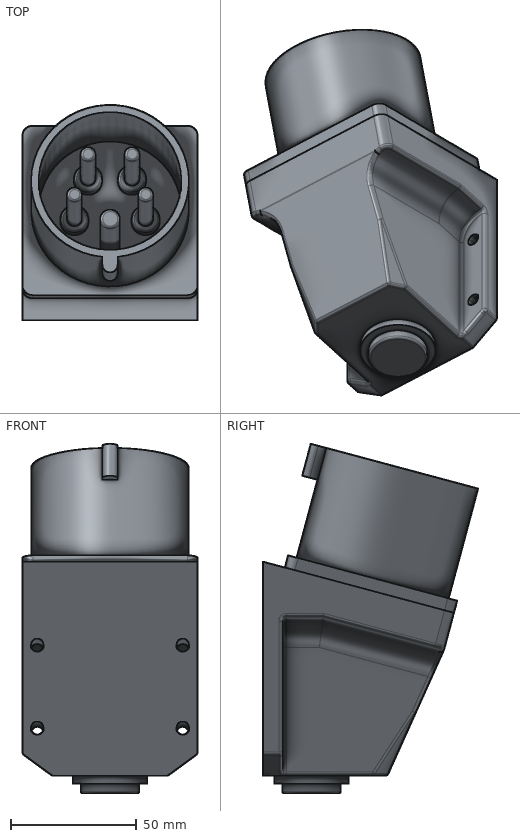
import cadquery as cq
import math

WIDTH = 70.0
TILT = 15.0

FRONT_HEIGHT = 85.6
SKIRT_DEPTH = 15.2
BOTTOM_DEPTH = 49.7
WALL_PLATE = 8.0
COVE_RADIUS = 12.0
POCKET_CEILING = 63.4
POCKET_CORNER = 1.4
EDGE_RADIUS = 1.7
PLATE_CORNER_HEIGHT = 8.8
BEVEL_HEIGHT = 31.4
BEVEL_SIDE_LEG = 6.3
BEVEL_REAR_LEG = 4.6
MOUNT_HOLE_DIAMETER = 5.0
MOUNT_HOLE_SPACING = 58.1
MOUNT_HOLE_LEVELS = (19.1, 52.2)

FLANGE_SIZE = WIDTH
FLANGE_THICKNESS = 5.0
FLANGE_CORNER = 4.0
FLANGE_SETBACK = 9.1

BOSS_DIAMETER = 11.3
BOSS_HEIGHT = 4.2
BOSS_ROUNDING = 1.0

SHROUD_DIAMETER = 63.0
SHROUD_BORE = 57.0
SHROUD_LENGTH = 45.4
KEY_WIDTH = 6.0
KEY_PROJECTION = 6.3
KEY_LENGTH = 13.3

PIN_CIRCLE_RADIUS = 15.0
PIN_LENGTH = 42.2
EARTH_PIN_LENGTH = 43.0
PIN_DIAMETER = 6.0
EARTH_PIN_DIAMETER = 8.0
PIN_ROUNDING = 1.0
PIN_ANGLES = (-18.0, 54.0, 126.0, 198.0)
EARTH_PIN_ANGLE = -90.0

GLAND_SETBACK = 19.4
GLAND_COLLAR_DIAMETER = 29.9
GLAND_COLLAR_HEIGHT = 3.1
GLAND_STUB_DIAMETER = 23.5
GLAND_STUB_HEIGHT = 3.9
GLAND_ROUNDING = 1.0

MARGIN = 0.1
CUT_OVERRUN = 27.9

HALF_WIDTH = WIDTH / 2
BODY_HALF_WIDTH = HALF_WIDTH - COVE_RADIUS
SIN_TILT = math.sin(math.radians(TILT))
COS_TILT = math.cos(math.radians(TILT))
SLOPE_LENGTH = FLANGE_SETBACK + FLANGE_SIZE
FLANGE_CENTRE = FLANGE_SETBACK + FLANGE_SIZE / 2


def slope_point(along, above):
    """(y, z) of a point given along the sloping top face and square to it."""
    return (
        along * COS_TILT + above * SIN_TILT,
        FRONT_HEIGHT - along * SIN_TILT + above * COS_TILT,
    )


def connector_plane(height):
    """Plane square to the connector axis, at a height above the sloping top face."""
    y, z = slope_point(FLANGE_CENTRE, height)
    return cq.Plane(origin=(0, y, z), xDir=(1, 0, 0), normal=(0, SIN_TILT, COS_TILT))


FLANGE_BASE = connector_plane(0)
FLANGE_TOP = connector_plane(FLANGE_THICKNESS)


def pin_location(angle):
    """Place on the flange plate at an angle on the pin circle."""
    radians = math.radians(angle)
    offset = cq.Vector(PIN_CIRCLE_RADIUS * math.cos(radians), PIN_CIRCLE_RADIUS * math.sin(radians), 0)
    return cq.Location(FLANGE_TOP) * cq.Location(offset)


SKIRT_REAR = slope_point(SLOPE_LENGTH, -SKIRT_DEPTH)


def center_box(low, high):
    """Selector for the edges whose middles lie between two corner points."""
    return cq.selectors.BoxSelector(low, high)


def half_block():
    block = (
        cq.Workplane("YZ")
        .polyline([(0, 0), (0, FRONT_HEIGHT), slope_point(SLOPE_LENGTH, 0), SKIRT_REAR, (BOTTOM_DEPTH, 0)])
        .close()
        .extrude(-HALF_WIDTH)
    )
    rear_y, rear_z = slope_point(SLOPE_LENGTH, -SKIRT_DEPTH / 2)
    rear_corner = center_box(
        (-HALF_WIDTH - MARGIN, rear_y - MARGIN, rear_z - MARGIN),
        (-HALF_WIDTH + MARGIN, rear_y + MARGIN, rear_z + MARGIN),
    )
    return block.edges(rear_corner).fillet(FLANGE_CORNER)


def side_pocket():
    """Cutter that narrows the body below the skirt, with a cove under the skirt."""
    kink_along = (FRONT_HEIGHT - SKIRT_DEPTH * COS_TILT - POCKET_CEILING) / SIN_TILT
    kink = slope_point(kink_along, -SKIRT_DEPTH)
    far = slope_point(SLOPE_LENGTH + CUT_OVERRUN, -SKIRT_DEPTH)
    cutter = (
        cq.Workplane("YZ", origin=(-BODY_HALF_WIDTH, 0, 0))
        .polyline([(WALL_PLATE, -CUT_OVERRUN), (WALL_PLATE, POCKET_CEILING), kink, far, (far[0], -CUT_OVERRUN)])
        .close()
        .extrude(-CUT_OVERRUN)
    )
    cove_edges = center_box(
        (-BODY_HALF_WIDTH - MARGIN, WALL_PLATE + MARGIN, BEVEL_HEIGHT),
        (-BODY_HALF_WIDTH + MARGIN, SKIRT_REAR[0], POCKET_CEILING + MARGIN),
    )
    cutter = cutter.edges(cove_edges).fillet(COVE_RADIUS)
    return cutter.faces("<Y").edges(">X").fillet(POCKET_CORNER)


def rear_bevel():
    """Tetrahedral cutter for the lower rear corner of the body."""
    rear_lean = (SKIRT_REAR[0] - BOTTOM_DEPTH) / SKIRT_REAR[1]
    corner = (-BODY_HALF_WIDTH, BOTTOM_DEPTH, 0)
    tip = (-BODY_HALF_WIDTH, BOTTOM_DEPTH + rear_lean * BEVEL_HEIGHT, BEVEL_HEIGHT)
    on_side = (-BODY_HALF_WIDTH, BOTTOM_DEPTH - BEVEL_SIDE_LEG, 0)
    on_rear = (-BODY_HALF_WIDTH + BEVEL_REAR_LEG, BOTTOM_DEPTH, 0)
    triangles = [
        (tip, on_side, on_rear),
        (tip, on_side, corner),
        (tip, on_rear, corner),
        (on_side, on_rear, corner),
    ]
    faces = [cq.Face.makeFromWires(cq.Wire.makePolygon(points, close=True)) for points in triangles]
    return cq.Workplane(obj=cq.Solid.makeSolid(cq.Shell.makeShell(faces)))


def round_outer_edges(half):
    """Rounds the pocket rim, the rear edges, the rear bevel and the bottom edges."""
    rear_start = BOTTOM_DEPTH + (SKIRT_REAR[0] - BOTTOM_DEPTH) / 2
    pocket_rim = center_box(
        (-HALF_WIDTH - MARGIN, WALL_PLATE - MARGIN, BEVEL_HEIGHT),
        (-HALF_WIDTH + MARGIN, rear_start, POCKET_CEILING + MARGIN),
    )
    rear_edges = center_box(
        (-HALF_WIDTH, rear_start, BEVEL_HEIGHT),
        (-BODY_HALF_WIDTH + MARGIN, SKIRT_REAR[0], SKIRT_REAR[1] + MARGIN),
    )
    bevel_edges = center_box(
        (-BODY_HALF_WIDTH - MARGIN, BOTTOM_DEPTH, BEVEL_HEIGHT / 2 - MARGIN),
        (-BODY_HALF_WIDTH + BEVEL_REAR_LEG, SKIRT_REAR[0], BEVEL_HEIGHT / 2 + MARGIN),
    )
    bottom_edges = center_box(
        (-HALF_WIDTH, WALL_PLATE - MARGIN, -MARGIN),
        (-MARGIN, BOTTOM_DEPTH + MARGIN, MARGIN),
    )
    return half.edges(pocket_rim + rear_edges + bevel_edges + bottom_edges).fillet(EDGE_RADIUS)


def bevel_plate_corner(half):
    """Cuts the lower corner off the mounting plate and rounds the new edges."""
    cutter = (
        cq.Workplane("XZ")
        .polyline([(-HALF_WIDTH, 0), (-BODY_HALF_WIDTH, 0), (-HALF_WIDTH, PLATE_CORNER_HEIGHT)])
        .close()
        .extrude(-WALL_PLATE - POCKET_CORNER)
    )
    half = half.cut(cutter)
    side_edge = center_box(
        (-HALF_WIDTH - MARGIN, MARGIN, PLATE_CORNER_HEIGHT - MARGIN),
        (-HALF_WIDTH + MARGIN, WALL_PLATE, PLATE_CORNER_HEIGHT + MARGIN),
    )
    back_edge = center_box(
        (-HALF_WIDTH + MARGIN, WALL_PLATE - MARGIN, PLATE_CORNER_HEIGHT / 4),
        (-BODY_HALF_WIDTH - POCKET_CORNER, WALL_PLATE + MARGIN, PLATE_CORNER_HEIGHT),
    )
    return half.edges(side_edge + back_edge).fillet(EDGE_RADIUS)


def drill_mount_holes(half):
    """Screw holes through the mounting plate, parallel to the sloping top face."""
    for level in MOUNT_HOLE_LEVELS:
        drill = cq.Solid.makeCylinder(
            MOUNT_HOLE_DIAMETER / 2,
            WALL_PLATE + CUT_OVERRUN,
            cq.Vector(-MOUNT_HOLE_SPACING / 2, -WALL_PLATE * COS_TILT, level + WALL_PLATE * SIN_TILT),
            cq.Vector(0, COS_TILT, -SIN_TILT),
        )
        half = half.cut(cq.Workplane(obj=drill))
    return half


half_housing = half_block().cut(side_pocket()).cut(rear_bevel())
half_housing = round_outer_edges(half_housing)
half_housing = bevel_plate_corner(half_housing)
half_housing = drill_mount_holes(half_housing)
housing = half_housing.union(half_housing.mirror("YZ")).clean()


def make_flange():
    """Flange plate with a rounded, bored boss for each live pin."""
    plate = (
        cq.Workplane(FLANGE_BASE)
        .rect(FLANGE_SIZE, FLANGE_SIZE)
        .extrude(FLANGE_THICKNESS)
        .edges(cq.selectors.ParallelDirSelector(FLANGE_BASE.zDir))
        .fillet(FLANGE_CORNER)
    )
    boss = (
        cq.Workplane("XY")
        .circle(BOSS_DIAMETER / 2)
        .extrude(BOSS_HEIGHT)
        .faces(">Z")
        .edges()
        .fillet(BOSS_ROUNDING)
        .cut(cq.Workplane("XY").circle(PIN_DIAMETER / 2).extrude(BOSS_HEIGHT))
    )
    for angle in PIN_ANGLES:
        plate = plate.union(cq.Workplane(obj=boss.val().moved(pin_location(angle))))
    return plate


flange = make_flange()


def make_shroud():
    """Tube standing on the flange plate, with a round-ended key at its mouth."""
    tube = cq.Workplane(FLANGE_TOP).circle(SHROUD_DIAMETER / 2).extrude(SHROUD_LENGTH)
    key_round_centre = -(SHROUD_DIAMETER / 2 + KEY_PROJECTION - KEY_WIDTH / 2)
    key = (
        cq.Workplane(connector_plane(FLANGE_THICKNESS + SHROUD_LENGTH - KEY_LENGTH))
        .moveTo(-KEY_WIDTH / 2, 0)
        .lineTo(-KEY_WIDTH / 2, key_round_centre)
        .radiusArc((KEY_WIDTH / 2, key_round_centre), -KEY_WIDTH / 2)
        .lineTo(KEY_WIDTH / 2, 0)
        .close()
        .extrude(KEY_LENGTH)
    )
    bore = cq.Workplane(FLANGE_TOP).circle(SHROUD_BORE / 2).extrude(SHROUD_LENGTH)
    return tube.union(key).cut(bore)


shroud = make_shroud()


def make_pin(diameter, length, angle):
    """Round-tipped pin standing on the flange plate at an angle on the pin circle."""
    pin = (
        cq.Workplane("XY")
        .circle(diameter / 2)
        .extrude(length)
        .faces(">Z")
        .edges()
        .fillet(PIN_ROUNDING)
    )
    return pin.val().moved(pin_location(angle))


live_pins = [make_pin(PIN_DIAMETER, PIN_LENGTH, angle) for angle in PIN_ANGLES]
earth_pin = make_pin(EARTH_PIN_DIAMETER, EARTH_PIN_LENGTH, EARTH_PIN_ANGLE)


def make_gland():
    """Stepped round gland below the housing bottom."""
    collar = (
        cq.Workplane("XY", origin=(0, GLAND_SETBACK, 0))
        .circle(GLAND_COLLAR_DIAMETER / 2)
        .extrude(-GLAND_COLLAR_HEIGHT)
    )
    stub = (
        cq.Workplane("XY", origin=(0, GLAND_SETBACK, -GLAND_COLLAR_HEIGHT))
        .circle(GLAND_STUB_DIAMETER / 2)
        .extrude(-GLAND_STUB_HEIGHT)
        .faces("<Z")
        .edges()
        .fillet(GLAND_ROUNDING)
    )
    return collar.union(stub)


gland = make_gland()

result = cq.Compound.makeCompound(
    [housing.val(), flange.val(), shroud.val(), *live_pins, earth_pin, gland.val()]
)